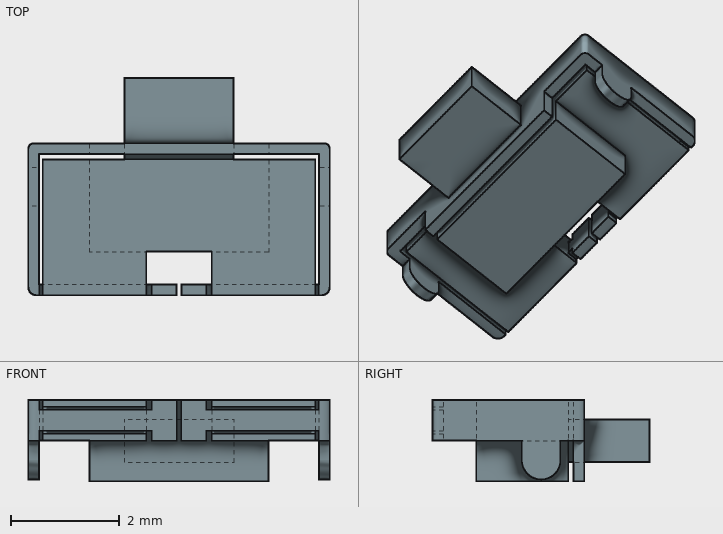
import cadquery as cq

frame_width = 5.55
frame_depth = 2.795
total_depth = 4.0
top_z = 1.5
frame_height = 0.75
frame_bottom_z = top_z - frame_height

wall = 0.2
cavity_width = frame_width - 2 * wall
front_corner_radius = 0.15
back_corner_radius = 0.1
strip_relief = 0.18
post_half_width = 0.5
seam_width = 0.085
tab_width = 0.71
tab_center_y = 2.005
tab_bottom_z = 0.035

core_width = 5.015
core_back_y = 2.505
plate_thickness = 0.13
notch_width = 1.205
notch_depth = 0.805
foot_width = 3.3
knob_width = 2.015
knob_bottom_z = 0.355
knob_top_z = 1.14


def block(x_range, y_range, z_range):
    """Axis-aligned box between the given limits."""
    (x0, x1), (y0, y1), (z0, z1) = x_range, y_range, z_range
    return cq.Workplane("XY").box(x1 - x0, y1 - y0, z1 - z0, centered=False).translate((x0, y0, z0))


def centered_block(width, y_range, z_range):
    """Box of the given width, symmetric about X = 0."""
    return block((-width / 2, width / 2), y_range, z_range)


def make_knob():
    """Actuator knob, from the back of the core out through the frame."""
    return centered_block(knob_width, (core_back_y, total_depth), (knob_bottom_z, knob_top_z))


def make_tab(outer_x):
    """Round-ended mounting tab with its left face at outer_x."""
    radius = tab_width / 2
    arc_z = tab_bottom_z + radius
    return (
        cq.Workplane("YZ", origin=(outer_x, 0, 0))
        .moveTo(tab_center_y - radius, frame_bottom_z)
        .lineTo(tab_center_y - radius, arc_z)
        .threePointArc((tab_center_y, tab_bottom_z), (tab_center_y + radius, arc_z))
        .lineTo(tab_center_y + radius, frame_bottom_z)
        .close()
        .extrude(wall)
    )


def make_frame():
    """Bent sheet frame around the core, with a split front, side tabs and a back flap."""
    full_height = (frame_bottom_z, top_z)
    frame = centered_block(frame_width, (0, frame_depth), full_height)
    frame = frame.edges("|Z and <Y").fillet(front_corner_radius)
    frame = frame.edges("|Z and >Y").fillet(back_corner_radius)
    frame = frame.cut(centered_block(cavity_width, (wall, frame_depth - wall), full_height))

    frame = frame.cut(centered_block(seam_width, (0, wall), full_height))

    relief_heights = (
        (frame_bottom_z, frame_bottom_z + strip_relief),
        (top_z - strip_relief, top_z),
    )
    for x_range in ((-cavity_width / 2, -post_half_width), (post_half_width, cavity_width / 2)):
        for z_range in relief_heights:
            frame = frame.cut(block(x_range, (0, wall), z_range))

    for outer_x in (-frame_width / 2, frame_width / 2 - wall):
        frame = frame.union(make_tab(outer_x))

    back_wall = (frame_depth - wall, frame_depth)
    frame = frame.union(centered_block(foot_width, back_wall, (0, frame_bottom_z)))
    return frame.cut(make_knob())


def make_core():
    """Inner block with a front groove for the strips, a foot and the knob."""
    core = centered_block(core_width, (0, core_back_y), (frame_bottom_z, top_z))
    groove_height = (frame_bottom_z + plate_thickness, top_z - plate_thickness)
    core = core.cut(centered_block(core_width, (0, wall), groove_height))
    core = core.cut(centered_block(notch_width, (0, notch_depth), (frame_bottom_z, top_z)))
    core = core.union(centered_block(foot_width, (notch_depth, core_back_y), (0, frame_bottom_z)))
    return core.union(make_knob())


frame = make_frame()
core = make_core()
result = cq.Compound.makeCompound([frame.solids().val(), core.solids().val()])